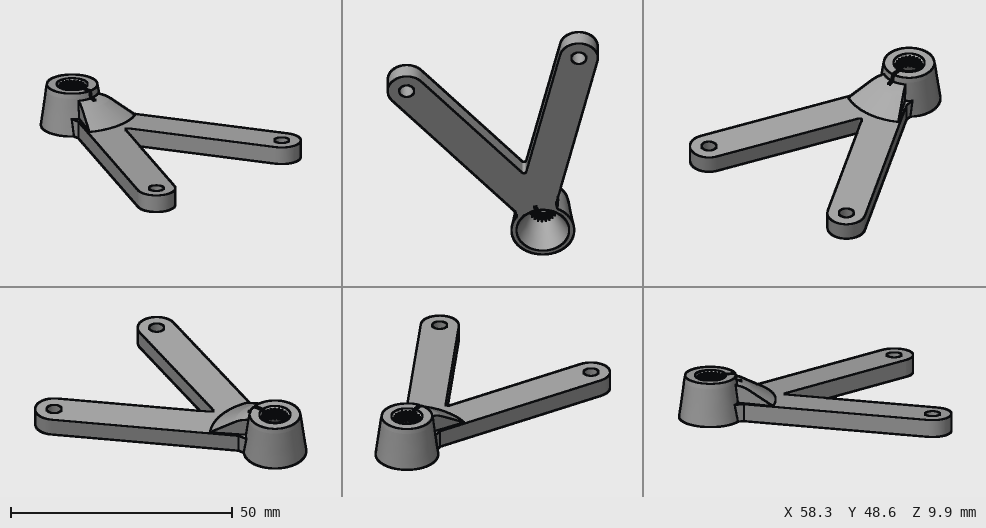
import cadquery as cq
import math

overall_length = 58.25
overall_width = 48.6
arm_thickness = 4.1
arm_end_radius = 4.3
arm_angle = math.atan(0.5)
pin_hole_diameter = 3.4
crotch_radius = 0.5
neck_half_width = 4.7

hub_height = 9.9
hub_base_radius = 7.1
hub_band_radius = 5.95
hub_top_radius = 5.7
hub_band_height = 1.2

bore_radius = 2.55
groove_root_radius = 2.9
groove_count = 20
groove_mouth_width = 0.5
bore_chamfer_radius = 3.5
bore_chamfer_depth = 0.45
serration_depth = 2.5
recess_base_radius = 5.95
slot_width = 0.5
slot_end_x = hub_base_radius

gusset_slope = math.radians(30)
gusset_foot_radius = 14.75
gusset_bend_radius = 9.1
gusset_crest_radius = 5.8
gusset_side_angle = math.radians(28.3)
gusset_corner_half_width = 7.3

hole_x = overall_length - hub_base_radius - arm_end_radius
hole_y = overall_width / 2 - arm_end_radius


def make_arms():
    """Flat V-shaped plate with rounded arm ends and a neck that enters the hub."""
    tangent_dx = arm_end_radius * math.sin(arm_angle)
    tangent_dy = arm_end_radius * math.cos(arm_angle)
    outer_x, outer_y = hole_x - tangent_dx, hole_y + tangent_dy
    inner_x, inner_y = hole_x + tangent_dx, hole_y - tangent_dy
    end_x = hole_x + arm_end_radius * math.cos(arm_angle)
    end_y = hole_y + arm_end_radius * math.sin(arm_angle)
    neck_x = outer_x - (outer_y - neck_half_width) / math.tan(arm_angle)
    crotch_x = inner_x - inner_y / math.tan(arm_angle)

    plate = (
        cq.Workplane("XY")
        .moveTo(0, neck_half_width)
        .lineTo(neck_x, neck_half_width)
        .lineTo(outer_x, outer_y)
        .threePointArc((end_x, end_y), (inner_x, inner_y))
        .lineTo(crotch_x, 0)
        .lineTo(inner_x, -inner_y)
        .threePointArc((end_x, -end_y), (outer_x, -outer_y))
        .lineTo(neck_x, -neck_half_width)
        .lineTo(0, -neck_half_width)
        .close()
        .extrude(arm_thickness)
    )
    crotch_edge = cq.selectors.NearestToPointSelector((crotch_x, 0, arm_thickness / 2))
    return plate.edges("|Z").edges(crotch_edge).fillet(crotch_radius)


def make_hub():
    """Solid tapered hub turned about Z."""
    return (
        cq.Workplane("XZ")
        .moveTo(0, 0)
        .lineTo(hub_base_radius, 0)
        .lineTo(hub_band_radius, hub_height - hub_band_height)
        .lineTo(hub_top_radius, hub_height)
        .lineTo(0, hub_height)
        .close()
        .revolve(360, (0, 0, 0), (0, 1, 0))
    )


def make_gusset():
    """Conical ramp, rounded over at its crest and trimmed to a wedge between the arms' outer edges."""
    bend_z = arm_thickness + (gusset_foot_radius - gusset_bend_radius) * math.tan(gusset_slope)
    crest_arc_radius = (gusset_bend_radius - gusset_crest_radius) / math.sin(gusset_slope)
    crest_z = bend_z + crest_arc_radius * (1 - math.cos(gusset_slope))
    middle_angle = gusset_slope / 2
    arc_middle = (
        gusset_crest_radius + crest_arc_radius * math.sin(middle_angle),
        crest_z - crest_arc_radius * (1 - math.cos(middle_angle)),
    )
    ramp = (
        cq.Workplane("XZ")
        .moveTo(0, 0)
        .lineTo(gusset_foot_radius, 0)
        .lineTo(gusset_foot_radius, arm_thickness)
        .lineTo(gusset_bend_radius, bend_z)
        .threePointArc(arc_middle, (gusset_crest_radius, crest_z))
        .lineTo(0, crest_z)
        .close()
        .revolve(360, (0, 0, 0), (0, 1, 0))
    )
    corner_x = math.sqrt(gusset_foot_radius**2 - gusset_corner_half_width**2)
    root_half_width = gusset_corner_half_width - corner_x * math.tan(gusset_side_angle)
    far_half_width = root_half_width + gusset_foot_radius * math.tan(gusset_side_angle)
    wedge = (
        cq.Workplane("XY")
        .workplane(offset=arm_thickness)
        .moveTo(0, root_half_width)
        .lineTo(gusset_foot_radius, far_half_width)
        .lineTo(gusset_foot_radius, -far_half_width)
        .lineTo(0, -root_half_width)
        .close()
        .extrude(hub_height - arm_thickness)
    )
    return ramp.intersect(wedge)


def make_serrated_bore():
    """Cutter for the bore: V-grooved round core, chamfered mouth and a recess flaring to the base."""
    half_mouth_angle = math.asin(groove_mouth_width / 2 / bore_radius)
    outline = []
    for index in range(groove_count):
        angle = index * 2 * math.pi / groove_count
        for radius, turn in (
            (bore_radius, -half_mouth_angle),
            (groove_root_radius, 0),
            (bore_radius, half_mouth_angle),
        ):
            outline.append((radius * math.cos(angle + turn), radius * math.sin(angle + turn)))
    grooves = cq.Workplane("XY").polyline(outline).close().extrude(hub_height)
    core = cq.Workplane("XY").circle(bore_radius).extrude(hub_height)
    mouth = (
        cq.Workplane("XZ")
        .moveTo(0, hub_height)
        .lineTo(bore_chamfer_radius, hub_height)
        .lineTo(bore_radius, hub_height - bore_chamfer_depth)
        .lineTo(0, hub_height - bore_chamfer_depth)
        .close()
        .revolve(360, (0, 0, 0), (0, 1, 0))
    )
    recess = (
        cq.Workplane("XZ")
        .moveTo(0, 0)
        .lineTo(recess_base_radius, 0)
        .lineTo(bore_radius, hub_height - serration_depth)
        .lineTo(0, hub_height - serration_depth)
        .close()
        .revolve(360, (0, 0, 0), (0, 1, 0))
    )
    return core.union(grooves).union(mouth).union(recess)


def make_slot():
    """Cutter for the clamping slot from the bore through the hub wall."""
    return (
        cq.Workplane("XY")
        .center(slot_end_x / 2, 0)
        .rect(slot_end_x, slot_width)
        .extrude(hub_height)
    )


def make_pin_holes():
    """Cutters for the through holes at the arm ends."""
    return (
        cq.Workplane("XY")
        .pushPoints([(hole_x, hole_y), (hole_x, -hole_y)])
        .circle(pin_hole_diameter / 2)
        .extrude(arm_thickness)
    )


body = make_arms().union(make_hub()).union(make_gusset())
result = body.cut(make_serrated_bore()).cut(make_slot()).cut(make_pin_holes())